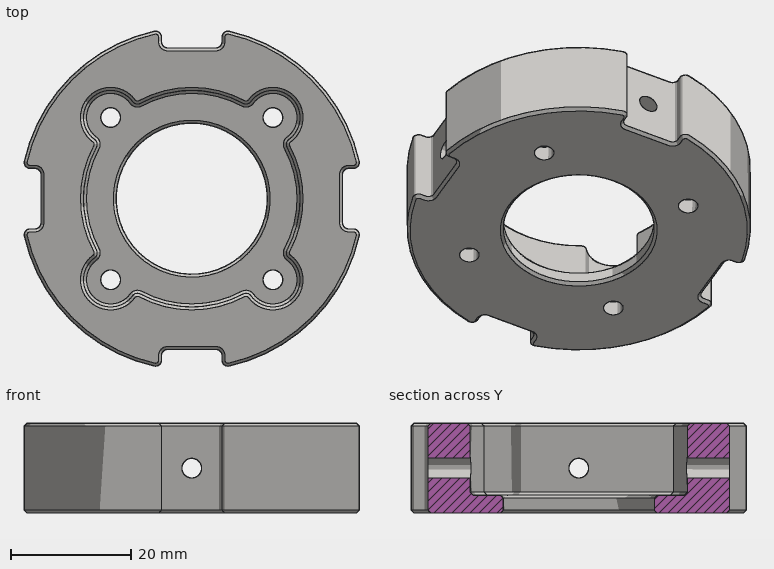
import cadquery as cq
import math

overall_width = 55.65
height = 15.0
edge_chamfer = 0.5

notch_width = 10.0
notch_floor_offset = 25.05
notch_corner_radius = 1.0

corner_center_along = overall_width / 2 - notch_corner_radius
corner_center_across = notch_width / 2 + notch_corner_radius
body_radius = math.hypot(corner_center_along, corner_center_across) + notch_corner_radius

bore_radius = 12.5
floor_thickness = 3.0
pocket_radius = 18.0
lobe_radius = 4.5
lobe_offset = pocket_radius - lobe_radius
lobe_spacing = 2 * lobe_offset
lobe_blend_radius = 1.0

hole_diameter = 3.25


def notched_disc():
    """Disc with four notches, their inner and outer corners rounded."""
    disc = cq.Workplane("XY").circle(body_radius).extrude(height)
    notch = (
        cq.Workplane("XY")
        .box(body_radius, notch_width, height, centered=(False, True, False))
        .translate((notch_floor_offset, 0, 0))
    )
    for angle in (0, 90, 180, 270):
        disc = disc.cut(notch.rotate((0, 0, 0), (0, 0, 1), angle))
    return disc.edges("|Z").fillet(notch_corner_radius)


def lobed_pocket():
    """Solid that fills the pocket, chamfered where its walls meet the floor."""
    depth = height - floor_thickness
    floor = cq.Workplane("XY").workplane(offset=floor_thickness)
    lobes = (
        floor.rect(lobe_spacing, lobe_spacing, forConstruction=True)
        .vertices()
        .circle(lobe_radius)
        .extrude(depth)
    )
    pocket = floor.circle(pocket_radius).extrude(depth).union(lobes)
    return pocket.edges("|Z").fillet(lobe_blend_radius).faces("<Z").chamfer(edge_chamfer)


def bore():
    """Solid that fills the central bore, flared by a chamfer at both ends."""
    flare_radius = bore_radius + edge_chamfer
    half_profile = (
        cq.Workplane("XZ")
        .lineTo(flare_radius, 0)
        .lineTo(bore_radius, edge_chamfer)
        .lineTo(bore_radius, floor_thickness - edge_chamfer)
        .lineTo(flare_radius, floor_thickness)
        .lineTo(0, floor_thickness)
        .close()
    )
    return half_profile.revolve(360, (0, 0, 0), (0, 1, 0))


def lobe_holes():
    """Four vertical holes through the floor, centred in the lobes."""
    return (
        cq.Workplane("XY")
        .rect(lobe_spacing, lobe_spacing, forConstruction=True)
        .vertices()
        .circle(hole_diameter / 2)
        .extrude(height)
    )


def cross_holes():
    """Two horizontal drillings that each pass through a pair of opposite notches."""
    drillings = cq.Workplane("XY")
    for plane in ("YZ", "XZ"):
        drilling = cq.Workplane(plane).center(0, height / 2).circle(hole_diameter / 2)
        drillings = drillings.add(drilling.extrude(body_radius, both=True))
    return drillings.combine()


ring = notched_disc().cut(lobed_pocket())

ring = ring.faces("<Z or >Z").chamfer(edge_chamfer)

result = ring.cut(bore()).cut(lobe_holes()).cut(cross_holes())